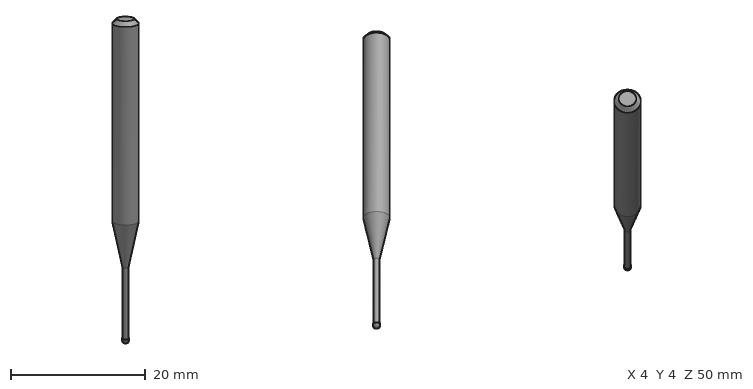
import cadquery as cq
import math

total_length = 50.0
shank_radius = 2.0
shank_chamfer = 0.7
taper_top_z = 18.85

neck_top_z = 11.7
neck_radius = 0.475
taper_root_z = 11.75
tip_radius = 0.55
tip_top_z = 0.75

taper_angle = math.atan2(shank_radius - neck_radius, taper_top_z - taper_root_z)
blend_length = taper_root_z - neck_top_z
blend_radius = blend_length / math.tan(taper_angle / 2)
blend_top_radius = neck_radius + blend_length * math.sin(taper_angle)
blend_top_z = taper_root_z + blend_length * math.cos(taper_angle)


def make_shank():
    """Shank with a chamfered end, a conical taper and a slim neck, turned about Z."""
    profile = (
        cq.Workplane("XZ")
        .moveTo(0, tip_top_z)
        .lineTo(neck_radius, tip_top_z)
        .lineTo(neck_radius, neck_top_z)
        .radiusArc((blend_top_radius, blend_top_z), blend_radius)
        .lineTo(shank_radius, taper_top_z)
        .lineTo(shank_radius, total_length - shank_chamfer)
        .lineTo(shank_radius - shank_chamfer, total_length)
        .lineTo(0, total_length)
        .close()
    )
    return profile.revolve(360, (0, 0, 0), (0, 1, 0))


def make_tip():
    """Short cylindrical land ending in a hemispherical nose at Z = 0."""
    profile = (
        cq.Workplane("XZ")
        .moveTo(0, 0)
        .radiusArc((tip_radius, tip_radius), -tip_radius)
        .lineTo(tip_radius, tip_top_z)
        .lineTo(0, tip_top_z)
        .close()
    )
    return profile.revolve(360, (0, 0, 0), (0, 1, 0))


shank = make_shank()
tip = make_tip()

result = cq.Compound.makeCompound([shank.val(), tip.val()])